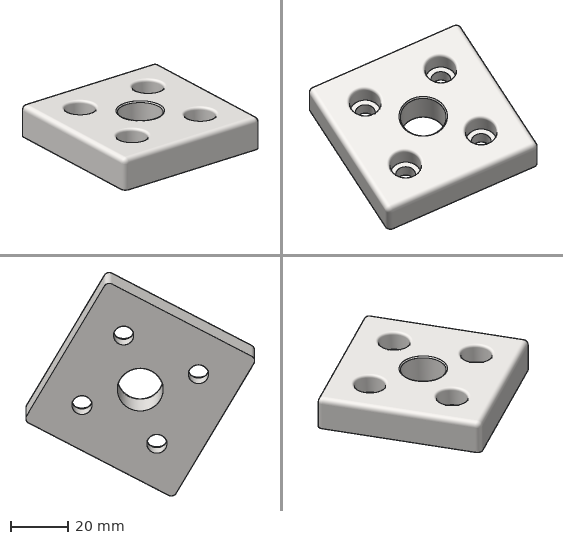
import cadquery as cq

side = 60.0
thickness = 12.0
edge_radius = 2.0

bore_diameter = 16.0
bore_chamfer = 0.5

hole_spacing = side / 2
hole_diameter = 7.0
counterbore_diameter = 11.0
counterbore_depth = 6.8
rim_radius = 1.0


def make_plate():
    """Plate standing on Z = 0, with rounded upright corners and a rounded top edge."""
    plate = cq.Workplane("XY").rect(side, side).extrude(thickness)
    return plate.edges("|Z").fillet(edge_radius).faces(">Z").edges().fillet(edge_radius)


def make_bore_cutter():
    """Revolved through bore, chamfered at the top face."""
    radius = bore_diameter / 2
    return (
        cq.Workplane("XZ")
        .lineTo(radius, 0)
        .lineTo(radius, thickness - bore_chamfer)
        .lineTo(radius + bore_chamfer, thickness)
        .lineTo(0, thickness)
        .close()
        .revolve()
    )


def make_screw_hole_cutter():
    """Revolved through hole and counterbore, with a rounded rim at the top face."""
    hole_radius = hole_diameter / 2
    counterbore_radius = counterbore_diameter / 2
    counterbore_floor = thickness - counterbore_depth
    return (
        cq.Workplane("XZ")
        .lineTo(hole_radius, 0)
        .lineTo(hole_radius, counterbore_floor)
        .lineTo(counterbore_radius, counterbore_floor)
        .lineTo(counterbore_radius, thickness - rim_radius)
        .radiusArc((counterbore_radius + rim_radius, thickness), rim_radius)
        .lineTo(0, thickness)
        .close()
        .revolve()
    )


result = make_plate().cut(make_bore_cutter())

screw_hole = make_screw_hole_cutter()
for x in (-hole_spacing / 2, hole_spacing / 2):
    for y in (-hole_spacing / 2, hole_spacing / 2):
        result = result.cut(screw_hole.translate((x, y, 0)))